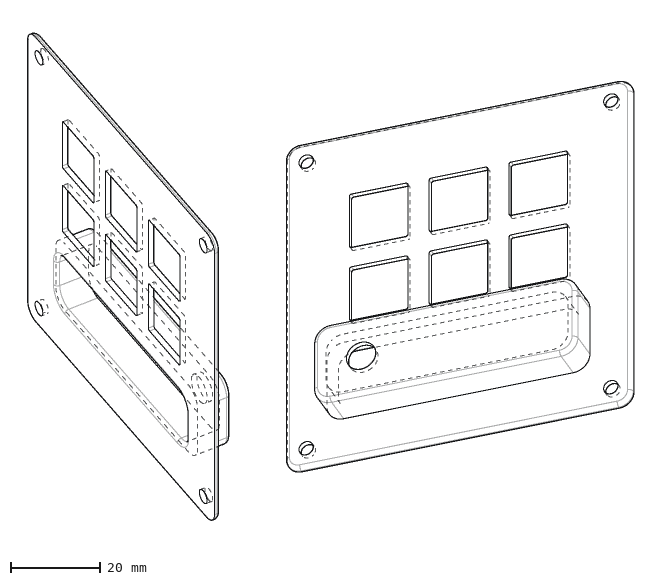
import cadquery as cq

plate_width = 83.0
plate_height = 85.3
plate_thickness = 1.45
plate_corner_radius = 3.5
back_edge_radius = 1.0

mount_hole_diameter = 3.4
mount_hole_inset = 5.0

window_size = 14.0
window_pitch = 19.1
window_columns = 3
window_rows = 2
window_corner_radius = 0.5
window_group_z = 10.15

overall_depth = 10.0
tray_width = 62.95
tray_height = 20.05
tray_wall = 2.5
tray_floor = 1.45
tray_corner_radius = 4.0
tray_z = -21.8
opening_edge_radius = 1.0

cable_hole_diameter = 7.0
cable_hole_x = 20.05


def block(width, height, corner_radius, y_start, y_end, z_center=0):
    """Box with rounded corners in XZ, spanning y_start to y_end."""
    center = (0, (y_start + y_end) / 2, z_center)
    return (
        cq.Workplane("XY")
        .box(width, y_end - y_start, height)
        .edges("|Y")
        .fillet(corner_radius)
        .translate(center)
    )


def drill(diameter, points):
    """Round cutters along Y, long enough to pass through the whole part."""
    return (
        cq.Workplane("XZ")
        .pushPoints(points)
        .circle(diameter / 2)
        .extrude(-overall_depth)
    )


def make_plate():
    plate = block(plate_width, plate_height, plate_corner_radius, 0, plate_thickness)
    return plate.faces(">Y").edges().fillet(back_edge_radius)


def make_tray():
    tray = block(tray_width, tray_height, tray_corner_radius, 0, overall_depth, tray_z)
    return tray.faces(">Y").edges().fillet(back_edge_radius)


def make_pocket():
    return block(
        tray_width - 2 * tray_wall,
        tray_height - 2 * tray_wall,
        tray_corner_radius,
        0,
        overall_depth - tray_floor,
        tray_z,
    )


def make_windows():
    return (
        cq.Workplane("XZ", origin=(0, 0, window_group_z))
        .rarray(window_pitch, window_pitch, window_columns, window_rows)
        .rect(window_size, window_size)
        .extrude(-plate_thickness)
        .edges("|Y")
        .fillet(window_corner_radius)
    )


def make_mount_holes():
    x = plate_width / 2 - mount_hole_inset
    z = plate_height / 2 - mount_hole_inset
    return drill(mount_hole_diameter, [(-x, -z), (x, -z), (-x, z), (x, z)])


body = make_plate().union(make_tray()).cut(make_pocket())

rim = cq.selectors.BoxSelector(
    (-tray_width / 2, -opening_edge_radius, tray_z - tray_height / 2),
    (tray_width / 2, opening_edge_radius, tray_z + tray_height / 2),
)
body = body.faces("<Y").edges(rim).fillet(opening_edge_radius)

result = (
    body.cut(make_windows())
    .cut(make_mount_holes())
    .cut(drill(cable_hole_diameter, [(cable_hole_x, tray_z)]))
)